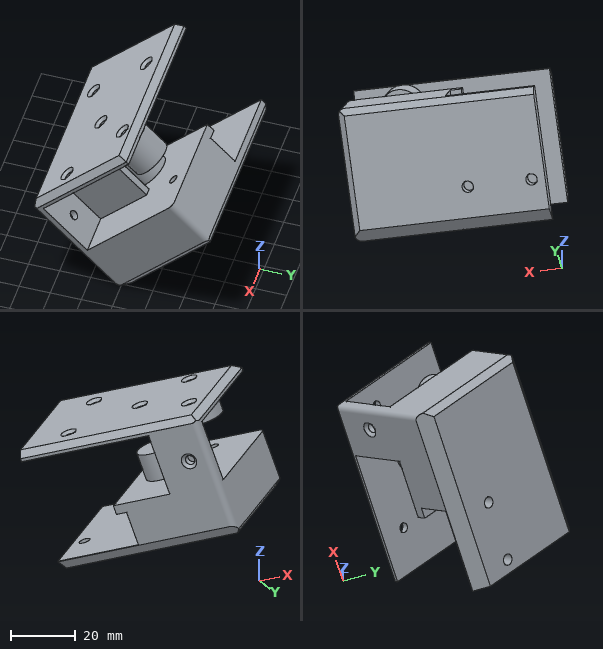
import cadquery as cq

TILT_ANGLE = 45

LENGTH = 61.5
WIDTH = 42.0

COVER_THICKNESS = 3.2
ROLLER_GAP = 20.0
SHELF_THICKNESS = 3.0
SPACER_HEIGHT = 11.1
BASE_THICKNESS = 4.2
COVER_BOTTOM = -COVER_THICKNESS
SHELF_TOP = COVER_BOTTOM - ROLLER_GAP
SHELF_BOTTOM = SHELF_TOP - SHELF_THICKNESS
BASE_TOP = SHELF_BOTTOM - SPACER_HEIGHT
BASE_BOTTOM = BASE_TOP - BASE_THICKNESS

SHELF_LEFT = 24.5
SPACER_LEFT = 28.0
WALL_LEFT = 44.1
WALL_THICKNESS = 3.2

RIB_THICKNESS = 3.2
RIB_DEPTH = 24.1
RIB_CHAMFER = 0.5

EDGE_CHAMFER = 2.1
BASE_FRONT_CHAMFER = 4.0
CORNER_RADIUS = 2.0

POST_X = 46.2
POST_Y = 35.75
POST_DIAMETER = 13.0
POST_LENGTH = 10.0

BOSS_X = 34.75
BOSS_Y = 20.65
BOSS_DIAMETER = 12.17
BOSS_HEIGHT = 9.0
PAD_X = 34.5
PAD_Y = WIDTH / 2
PAD_DIAMETER = 12.18
PAD_THICKNESS = 1.5

SCREW_DIAMETER = 3.0
SCREW_HEAD_DIAMETER = 5.0
HEAD_DEPTH = (SCREW_HEAD_DIAMETER - SCREW_DIAMETER) / 2
SIDE_SCREW_X = 54.2
COVER_SCREWS = [(14.2, 9.0), (14.2, 33.0), (SIDE_SCREW_X, 14.0)]
WALL_SCREW_HEIGHT = -14.0

MOUNT_DIAMETER = 3.5
MOUNT_Y = 13.7
MOUNT_XS = [4.25, 24.25]


def layer(left, bottom, top, depth=WIDTH):
    """Box reaching from the given left end to the right end of the bracket."""
    size = (LENGTH - left, depth, top - bottom)
    return cq.Workplane("XY").box(*size, centered=False).translate((left, 0, bottom))


def cylinder(x, y, bottom, top, diameter):
    """Upright cylinder between two heights."""
    return cq.Workplane("XY", origin=(x, y, bottom)).circle(diameter / 2).extrude(top - bottom)


def screw_cutter(origin, inward, depth):
    """Countersunk screw hole entering a face at origin along the inward direction."""
    start = cq.Vector(*origin)
    direction = cq.Vector(*inward)
    shank = cq.Solid.makeCylinder(SCREW_DIAMETER / 2, depth, start, direction)
    head = cq.Solid.makeCone(SCREW_HEAD_DIAMETER / 2, SCREW_DIAMETER / 2, HEAD_DEPTH, start, direction)
    return cq.Workplane(shank.fuse(head))


def make_frame():
    """Cover, wall, rib, shelf, spacer and base, with rounded right corners and bevelled rims."""
    cover = layer(0, COVER_BOTTOM, 0)
    wall = layer(WALL_LEFT, SHELF_TOP, COVER_BOTTOM, WALL_THICKNESS)
    shelf = layer(SHELF_LEFT, SHELF_BOTTOM, SHELF_TOP)
    spacer = layer(SPACER_LEFT, BASE_TOP, SHELF_BOTTOM)
    base = layer(0, BASE_BOTTOM, BASE_TOP)
    frame = cover.union(wall).union(shelf).union(spacer).union(base)
    return frame.union(make_rib()).intersect(make_envelope())


def make_rib():
    """Upright rib from the wall rearwards, with its rear left edge broken."""
    rib = cq.Workplane("XY").box(RIB_THICKNESS, RIB_DEPTH, ROLLER_GAP, centered=False)
    rib = rib.edges("|Z and <X and >Y").chamfer(RIB_CHAMFER)
    return rib.translate((WALL_LEFT, 0, SHELF_TOP))


def make_envelope():
    """Full block with bevelled edges and rounded right corners, square at the cover's rear."""
    lower = layer(0, BASE_BOTTOM, COVER_BOTTOM).edges("|Z and >X").fillet(CORNER_RADIUS)
    upper = layer(0, COVER_BOTTOM, 0).edges("|Z and >X and <Y").fillet(CORNER_RADIUS)
    block = lower.union(upper)
    block = block.intersect(bevel_profile_across())
    return block.intersect(bevel_profile_along())


def bevel_profile_across():
    """Prism along X that bevels the front and rear long edges."""
    outline = [
        (EDGE_CHAMFER, 0),
        (WIDTH - EDGE_CHAMFER, 0),
        (WIDTH, -EDGE_CHAMFER),
        (WIDTH, BASE_BOTTOM + EDGE_CHAMFER),
        (WIDTH - EDGE_CHAMFER, BASE_BOTTOM),
        (BASE_FRONT_CHAMFER, BASE_BOTTOM),
        (0, BASE_BOTTOM + BASE_FRONT_CHAMFER),
        (0, -EDGE_CHAMFER),
    ]
    return cq.Workplane("YZ").polyline(outline).close().extrude(LENGTH)


def bevel_profile_along():
    """Prism along Y that bevels the right-hand top and bottom edges."""
    outline = [
        (0, 0),
        (LENGTH - EDGE_CHAMFER, 0),
        (LENGTH, -EDGE_CHAMFER),
        (LENGTH, BASE_BOTTOM + EDGE_CHAMFER),
        (LENGTH - EDGE_CHAMFER, BASE_BOTTOM),
        (0, BASE_BOTTOM),
    ]
    return cq.Workplane("XZ").polyline(outline).close().extrude(-WIDTH)


def add_posts(body):
    """Roller post and pad under the cover, boss on the shelf."""
    post = cylinder(POST_X, POST_Y, COVER_BOTTOM - POST_LENGTH, COVER_BOTTOM, POST_DIAMETER)
    pad = cylinder(PAD_X, PAD_Y, COVER_BOTTOM - PAD_THICKNESS, COVER_BOTTOM, PAD_DIAMETER)
    boss = cylinder(BOSS_X, BOSS_Y, SHELF_TOP, SHELF_TOP + BOSS_HEIGHT, BOSS_DIAMETER)
    return body.union(post).union(pad).union(boss)


def cut_cover_screws(body):
    """Screws through the cover alone, through the pad, and through post and shelf."""
    down = (0, 0, -1)
    for x, y in COVER_SCREWS:
        body = body.cut(screw_cutter((x, y, 0), down, COVER_THICKNESS))
    body = body.cut(screw_cutter((PAD_X, PAD_Y, 0), down, COVER_THICKNESS + PAD_THICKNESS))
    return body.cut(screw_cutter((POST_X, POST_Y, 0), down, -SHELF_BOTTOM))


def cut_wall_screw(body):
    """Screw entering the front of the wall."""
    return body.cut(screw_cutter((SIDE_SCREW_X, 0, WALL_SCREW_HEIGHT), (0, 1, 0), WALL_THICKNESS))


def cut_mount_holes(body):
    """Plain mounting holes through the base plate."""
    for x in MOUNT_XS:
        body = body.cut(cylinder(x, MOUNT_Y, BASE_BOTTOM, BASE_TOP, MOUNT_DIAMETER))
    return body


bracket = add_posts(make_frame())
bracket = cut_cover_screws(bracket)
bracket = cut_wall_screw(bracket)
bracket = cut_mount_holes(bracket)
result = bracket.rotate((0, 0, 0), (1, 0, 0), TILT_ANGLE)